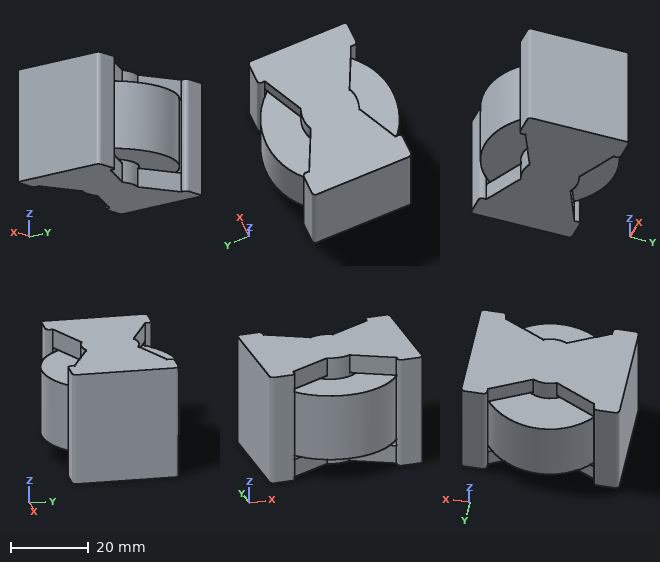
import cadquery as cq
import math

core_length = 41.5
core_width = 28.0
core_height = 30.0
plate_thickness = 5.02
opening_width = 27.95
corner_radius = 1.0
post_radius = 7.5
chamber_radius = 18.5
waist_half_width = 3.07

coil_radius = 17.93
coil_height = 18.0

chamber_height = core_height - 2 * plate_thickness
opening_half = opening_width / 2
waist_y = math.sqrt(post_radius**2 - waist_half_width**2)
step_y = math.sqrt(chamber_radius**2 - opening_half**2)


def centered_cylinder(radius, height):
    return cq.Workplane("XY", origin=(0, 0, -height / 2)).circle(radius).extrude(height)


def make_notch(side):
    """Tapered notch, open toward +Y (side = 1) or -Y (side = -1), flat at its waist."""
    outer_y = side * core_width / 2
    return (
        cq.Workplane("XY", origin=(0, 0, -core_height / 2))
        .moveTo(-opening_half, outer_y)
        .lineTo(-opening_half, side * step_y)
        .lineTo(-waist_half_width, side * waist_y)
        .lineTo(waist_half_width, side * waist_y)
        .lineTo(opening_half, side * step_y)
        .lineTo(opening_half, outer_y)
        .close()
        .extrude(core_height)
    )


def make_core():
    core = cq.Workplane("XY").box(core_length, core_width, core_height)
    for side in (1, -1):
        core = core.cut(make_notch(side))

    core = core.faces("<Y or >Y").edges("|Z").fillet(corner_radius)

    core = core.cut(centered_cylinder(chamber_radius, chamber_height))
    return core.union(centered_cylinder(post_radius, core_height))


def make_coil():
    ring = centered_cylinder(coil_radius, coil_height)
    return ring.cut(centered_cylinder(post_radius, coil_height))


core = make_core()
coil = make_coil()

result = cq.Compound.makeCompound([*core.solids().vals(), *coil.solids().vals()])